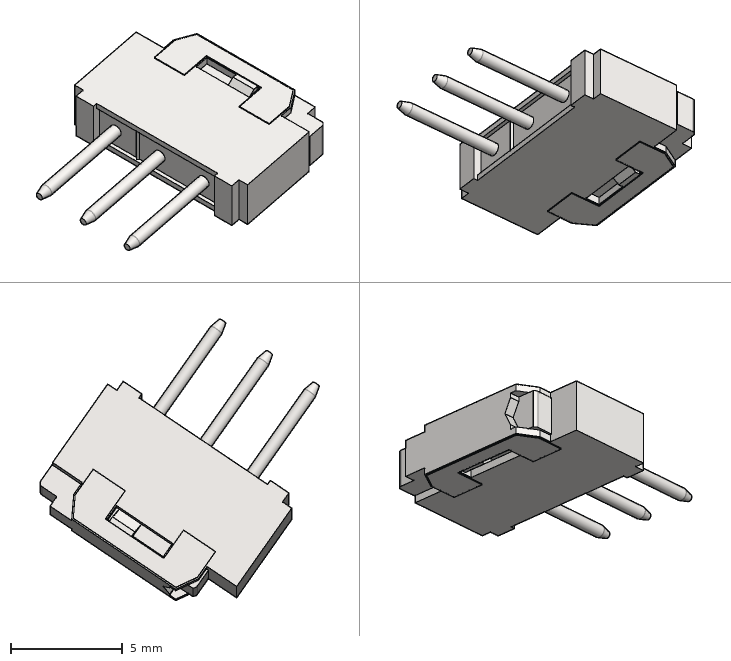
import cadquery as cq
import math


body_width = 10.0
body_thickness = 2.5
body_bottom = 0.5
body_top = 4.85
foot_inner = 3.49
foot_outer = 4.5
skirt_bottom = 0.22

base_face = 0.41
base_thickness = 1.89
ridge_peak = -1.265
ridge_height = 0.1

pin_pitch = 2.54
pin_diameter = 0.61
pin_tip_diameter = 0.35
pin_tip = -5.0
pin_taper_length = 0.5

guide_half_width = 3.39
guide_shoulder = 5.52
guide_top = 6.5
corner_angle = math.radians(30)
corner_run = (guide_top - guide_shoulder) * math.tan(corner_angle)
window_half_width = 1.52
window_floor = 0.86
window_top = 5.59

cover_thickness = 0.05
cover_margin = 0.07
cover_bottom = 4.08
cover_shoulder = guide_shoulder - cover_margin * math.tan(corner_angle / 2)
cover_top = guide_top - cover_margin
cover_top_half_width = guide_half_width - corner_run - cover_margin * math.tan(math.pi / 4 - corner_angle / 2)
cover_window_half_width = 1.585
cover_window_top = 5.64

slider_thickness = 1.83
slider_left = -3.5
slider_right = 5.0
slider_gap = 0.04
slider_top = 5.97
slider_corner_radius = 0.2
hump_inset = 1.0
notch_half_height = 0.69
notch_wall_angle = math.radians(27)
notch_depth = notch_half_height * math.tan(notch_wall_angle)

latch_left = 0.17
latch_right = 1.38
latch_crest = 5.375

half_body = body_thickness / 2
half_slider = slider_thickness / 2


def block(x_range, y_range, z_range):
    """Box given by its (min, max) limits along each axis."""
    sizes = [high - low for low, high in (x_range, y_range, z_range)]
    corner = (x_range[0], y_range[0], z_range[0])
    return cq.Workplane("XY").box(*sizes, centered=False).translate(corner)


def plate(points, z_min, z_max):
    """Prism with an XY outline, between two Z levels."""
    return cq.Workplane("XY").workplane(offset=z_min).polyline(points).close().extrude(z_max - z_min)


def mirrored(right_half):
    """Outline made of right-half points followed by their mirror images across X = 0."""
    return right_half + [(-x, y) for x, y in reversed(right_half)]


def make_housing():
    """Case with two feet and a recessed, ridged base plate between them."""
    outline = mirrored([
        (foot_inner, skirt_bottom),
        (foot_inner, 0),
        (foot_outer, 0),
        (foot_outer, body_bottom),
        (body_width / 2, body_bottom),
        (body_width / 2, body_top),
    ])
    housing = plate(outline, -half_body, half_body)
    recess = block(
        (-foot_inner, foot_inner),
        (skirt_bottom, base_face),
        (-base_thickness / 2, base_thickness / 2),
    )
    ridge_outline = [
        (ridge_peak - ridge_height, base_face),
        (ridge_peak, base_face - ridge_height),
        (ridge_peak + ridge_height, base_face),
    ]
    ridge = plate(ridge_outline, -base_thickness / 2, base_thickness / 2)
    return housing.cut(recess).union(ridge)


def make_pin(x):
    """Round pin with a tapered tip, reaching into the base plate."""
    taper_start = pin_tip + pin_taper_length
    profile = [
        (0, pin_tip),
        (pin_tip_diameter / 2, pin_tip),
        (pin_diameter / 2, taper_start),
        (pin_diameter / 2, body_bottom),
        (0, body_bottom),
    ]
    pin = cq.Workplane("XY").polyline(profile).close().revolve(360, (0, 0), (0, 1))
    return pin.translate((x, 0, 0))


def make_upper_side():
    """Guide wall and cover plate of the +Z side."""
    wall_outline = mirrored([
        (guide_half_width, body_top),
        (guide_half_width, guide_shoulder),
        (guide_half_width - corner_run, guide_top),
    ])
    wall = plate(wall_outline, half_slider, half_body)

    cover_half_width = guide_half_width - cover_margin
    cover_outline = mirrored([
        (cover_window_half_width, cover_window_top),
        (cover_window_half_width, cover_bottom),
        (cover_half_width, cover_bottom),
        (cover_half_width, cover_shoulder),
        (cover_top_half_width, cover_top),
    ])
    cover = plate(cover_outline, half_body, half_body + cover_thickness)

    return wall.union(cover)


def make_slider():
    """Carriage with rounded ends, and a hump notched at its -X end."""
    z_range = (-half_slider, half_slider)
    carriage = block((slider_left, slider_right), (body_top + slider_gap, slider_top), z_range)
    carriage = carriage.edges("|Z and >Y").fillet(slider_corner_radius)

    hump_left = slider_left + hump_inset
    hump_right = slider_right - hump_inset
    hump = block((hump_left, hump_right), (slider_top, guide_top), z_range)
    notch_profile = [
        (hump_left, -notch_half_height),
        (hump_left + notch_depth, 0),
        (hump_left, notch_half_height),
    ]
    notch = cq.Workplane("XZ").workplane(offset=-guide_top).polyline(notch_profile).close()
    hump = hump.cut(notch.extrude(guide_top - slider_top))

    neck = block((-guide_half_width, guide_half_width), (body_top, slider_top), z_range)
    return carriage.union(hump).union(neck)


def make_window():
    """Pocket through the +Z guide wall and slightly into the slider."""
    return block(
        (-window_half_width, window_half_width),
        (body_top, window_top),
        (window_floor, half_body),
    )


def make_latch():
    """Wedge rising from the window floor, its slope facing -Y."""
    latch_profile = [
        (body_top, 0),
        (body_top, window_floor),
        (latch_crest, half_body),
        (window_top, half_body),
        (window_top, 0),
    ]
    latch = cq.Workplane("YZ").workplane(offset=latch_left).polyline(latch_profile).close()
    return latch.extrude(latch_right - latch_left)


upper_side = make_upper_side()
window = make_window()
latch = make_latch()

result = make_housing().union(make_slider())
result = result.union(upper_side).union(upper_side.mirror("XY"))
result = result.cut(window).cut(window.mirror("XY"))
result = result.union(latch).union(latch.mirror("XY"))
for pin_index in (-1, 0, 1):
    result = result.union(make_pin(pin_index * pin_pitch))